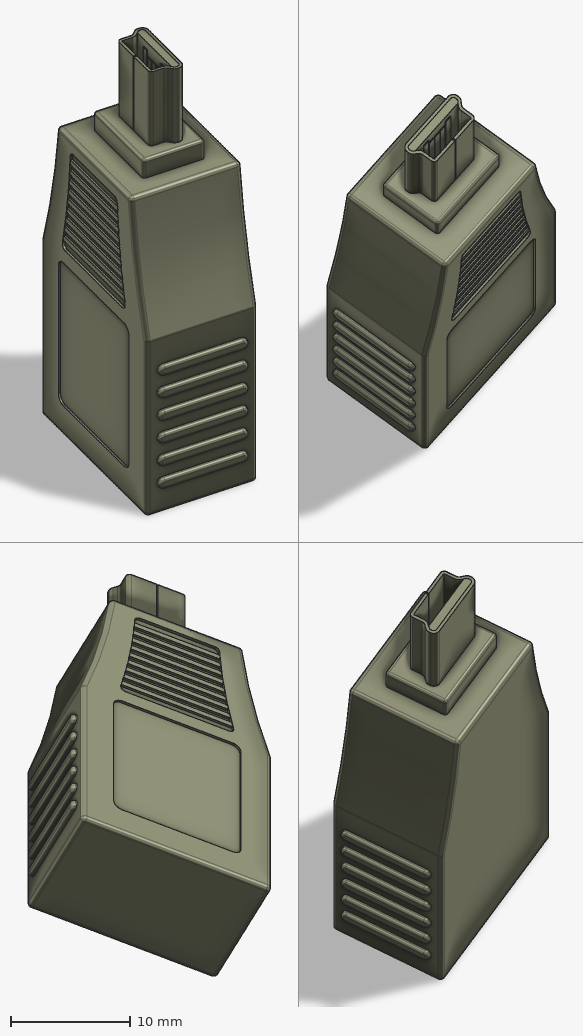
import cadquery as cq
import math

HOUSING_WIDTH = 17.65
HOUSING_DEPTH = 10.77
HOUSING_TOP = 31.0
SHOULDER_BOTTOM = 17.9
SHOULDER_TOP_WIDTH = 12.3
SHOULDER_BULGE = 0.32
HOUSING_ROUND = 0.4
FRONT_Y = -HOUSING_DEPTH / 2

NECK_WIDTH = 8.4
NECK_DEPTH = 6.0
NECK_TOP = 32.9
NECK_ROUND = 0.3

OVERALL_WIDTH = 18.55
SIDE_RIB_COUNT = 6
SIDE_RIB_PITCH = 2.3
SIDE_RIB_FIRST_Z = 3.15
SIDE_RIB_LENGTH = 8.65
SIDE_RIB_HEIGHT = 1.05
SIDE_RIB_ROUND = 0.3
SIDE_RIB_REACH = (OVERALL_WIDTH - HOUSING_WIDTH) / 2

PANEL_DEPTH = 0.2
PANEL_WIDTH = 11.85
PANEL_BOTTOM = 3.05
PANEL_TOP = 17.65
PANEL_CORNER = 0.8
GRIP_DEPTH = 0.25
GRIP_BOTTOM = 19.07
GRIP_TOP = 29.68
GRIP_BOTTOM_WIDTH = 10.77
GRIP_TOP_WIDTH = 7.85
GRIP_BULGE = 0.25
GRIP_CORNER = 0.5
GRIP_RIB_COUNT = 9
GRIP_RIB_HEIGHT = 0.53
GRIP_RIB_REACH = 0.2
GRIP_RIB_PITCH = 2 * GRIP_RIB_HEIGHT
GRIP_MIDDLE = (GRIP_BOTTOM + GRIP_TOP) / 2

PLUG_TOP = 40.5
SHELL_WIDE = 6.72
SHELL_NARROW = 5.5
SHELL_DEPTH = 3.05
SHELL_WALL = 0.3
SHELL_BACK_RADIUS = 0.55
SHELL_SIDE_FLAT = 0.12
SHELL_WAIST_RADIUS = 0.5
SHELL_FRONT_RADIUS = 0.35
SEAM_WIDTH = 0.12
PLUG_LENGTH = PLUG_TOP - NECK_TOP

INSULATOR_FRONT_Y = 0.5
CONTACT_COUNT = 5
CONTACT_PITCH = 0.73
CONTACT_WIDTH = 0.65
CONTACT_THICKNESS = 0.1
OUTER_CONTACT_SETBACK = 0.73
INNER_CONTACT_SETBACK = 1.35


def tapered_profile(bottom_width, top_width, bottom, top, bulge):
    """Half-outline points of a taper whose sides curve inwards: bottom, middle, top."""
    middle_x = (bottom_width + top_width) / 4 - bulge
    return (bottom_width / 2, bottom), (middle_x, (bottom + top) / 2), (top_width / 2, top)


def mirrored(point):
    return -point[0], point[1]


def front_plane(y):
    """Plane across the part at the given Y; local axes are X and Z, extrusion runs to -Y."""
    return cq.Workplane("XZ", origin=(0, y, 0))


def housing_block():
    low, middle, high = tapered_profile(
        HOUSING_WIDTH, SHOULDER_TOP_WIDTH, SHOULDER_BOTTOM, HOUSING_TOP, SHOULDER_BULGE
    )
    return (
        front_plane(HOUSING_DEPTH / 2)
        .moveTo(-HOUSING_WIDTH / 2, 0)
        .lineTo(HOUSING_WIDTH / 2, 0)
        .lineTo(*low)
        .threePointArc(middle, high)
        .lineTo(*mirrored(high))
        .threePointArc(mirrored(middle), mirrored(low))
        .close()
        .extrude(HOUSING_DEPTH)
        .edges()
        .fillet(HOUSING_ROUND)
    )


def neck_block():
    return (
        cq.Workplane("XY", origin=(0, 0, HOUSING_TOP))
        .rect(NECK_WIDTH, NECK_DEPTH)
        .extrude(NECK_TOP - HOUSING_TOP)
        .edges("|Z or >Z")
        .fillet(NECK_ROUND)
    )


def side_rib(side, z):
    """Rounded rib along Y on the +X (side = 1) or -X (side = -1) face."""
    return (
        cq.Workplane("YZ", origin=(side * HOUSING_WIDTH / 2, 0, z))
        .slot2D(SIDE_RIB_LENGTH, SIDE_RIB_HEIGHT)
        .extrude(side * SIDE_RIB_REACH)
        .faces(">X" if side > 0 else "<X")
        .edges()
        .fillet(SIDE_RIB_ROUND)
    )


def panel_recess():
    return (
        front_plane(FRONT_Y + PANEL_DEPTH)
        .center(0, (PANEL_BOTTOM + PANEL_TOP) / 2)
        .rect(PANEL_WIDTH, PANEL_TOP - PANEL_BOTTOM)
        .extrude(PANEL_DEPTH)
        .edges("|Y")
        .fillet(PANEL_CORNER)
    )


def grip_recess():
    """Tapered recess, less the ribs that rise from its floor and stay just below the front face."""
    low, middle, high = tapered_profile(
        GRIP_BOTTOM_WIDTH, GRIP_TOP_WIDTH, GRIP_BOTTOM, GRIP_TOP, GRIP_BULGE
    )
    recess = (
        front_plane(FRONT_Y + GRIP_DEPTH)
        .moveTo(*mirrored(low))
        .lineTo(*low)
        .threePointArc(middle, high)
        .lineTo(*mirrored(high))
        .threePointArc(mirrored(middle), mirrored(low))
        .close()
        .extrude(GRIP_DEPTH)
        .edges("|Y")
        .fillet(GRIP_CORNER)
    )
    ribs = (
        front_plane(FRONT_Y + GRIP_DEPTH)
        .center(0, GRIP_MIDDLE)
        .rarray(0.4, GRIP_RIB_PITCH, 1, GRIP_RIB_COUNT)
        .rect(GRIP_BOTTOM_WIDTH, GRIP_RIB_HEIGHT)
        .extrude(GRIP_RIB_REACH)
    )
    return recess.cut(ribs)


def make_housing():
    housing = housing_block().union(neck_block())
    for side in (-1, 1):
        for index in range(SIDE_RIB_COUNT):
            housing = housing.union(side_rib(side, SIDE_RIB_FIRST_Z + index * SIDE_RIB_PITCH))
    return housing.cut(panel_recess()).cut(grip_recess())


def plug_blank(inset):
    """Solid with the shell's outline, moved inwards by the given inset."""
    wide = SHELL_WIDE / 2 - inset
    narrow = SHELL_NARROW / 2 - inset
    back = SHELL_DEPTH / 2 - inset
    back_radius = SHELL_BACK_RADIUS - inset
    front_radius = SHELL_FRONT_RADIUS - inset
    waist_radius = SHELL_WAIST_RADIUS + inset

    diagonal = math.sqrt(0.5) * back_radius
    arc_x = wide - back_radius
    flat_top = (wide, back - back_radius)
    flat_bottom = (wide, back - back_radius - SHELL_SIDE_FLAT)
    corner_middle = (arc_x + diagonal, flat_top[1] + diagonal)
    slope_start = (arc_x + diagonal, flat_bottom[1] - diagonal)
    slope_end = (narrow, slope_start[1] - (slope_start[0] - narrow))
    blank = (
        cq.Workplane("XY", origin=(0, 0, NECK_TOP))
        .moveTo(-arc_x, back)
        .lineTo(arc_x, back)
        .threePointArc(corner_middle, flat_top)
        .lineTo(*flat_bottom)
        .tangentArcPoint(slope_start, relative=False)
        .lineTo(*slope_end)
        .lineTo(narrow, -back)
        .lineTo(-narrow, -back)
        .lineTo(*mirrored(slope_end))
        .lineTo(*mirrored(slope_start))
        .tangentArcPoint(mirrored(flat_bottom), relative=False)
        .lineTo(*mirrored(flat_top))
        .threePointArc(mirrored(corner_middle), (-arc_x, back))
        .close()
        .extrude(PLUG_LENGTH)
    )
    slope_height = slope_start[1] - slope_end[1]
    waist_zone = cq.selectors.BoxSelector(
        (-wide, slope_end[1] - slope_height / 2, NECK_TOP),
        (wide, slope_end[1] + slope_height / 2, PLUG_TOP),
    )
    waisted = blank.edges("|Z").edges(waist_zone).fillet(waist_radius)
    return waisted.edges("|Z and <Y").fillet(front_radius)


def make_shell():
    seam = (
        cq.Workplane("XY", origin=(0, -SHELL_DEPTH / 2, NECK_TOP))
        .rect(SEAM_WIDTH, 2 * SHELL_WALL)
        .extrude(PLUG_LENGTH)
    )
    return plug_blank(0).cut(plug_blank(SHELL_WALL)).cut(seam)


def make_insulator():
    """Bar that fills the wide back part of the shell."""
    back_half = (
        cq.Workplane("XY", origin=(0, INSULATOR_FRONT_Y + SHELL_DEPTH / 2, NECK_TOP))
        .rect(SHELL_WIDE, SHELL_DEPTH)
        .extrude(PLUG_LENGTH)
    )
    return plug_blank(SHELL_WALL).intersect(back_half)


def make_contact(x, setback):
    """Flat strip on the insulator's front face, ending short of the plug's open end."""
    return (
        cq.Workplane("XY", origin=(x, INSULATOR_FRONT_Y - CONTACT_THICKNESS / 2, NECK_TOP))
        .rect(CONTACT_WIDTH, CONTACT_THICKNESS)
        .extrude(PLUG_LENGTH - setback)
    )


housing = make_housing()
shell = make_shell()
insulator = make_insulator()
contacts = []
for position in range(CONTACT_COUNT):
    offset = position - (CONTACT_COUNT - 1) / 2
    is_outer = position in (0, CONTACT_COUNT - 1)
    setback = OUTER_CONTACT_SETBACK if is_outer else INNER_CONTACT_SETBACK
    contacts.append(make_contact(offset * CONTACT_PITCH, setback))

contact_solids = [contact.val() for contact in contacts]
result = cq.Compound.makeCompound([housing.val(), shell.val(), insulator.val(), *contact_solids])